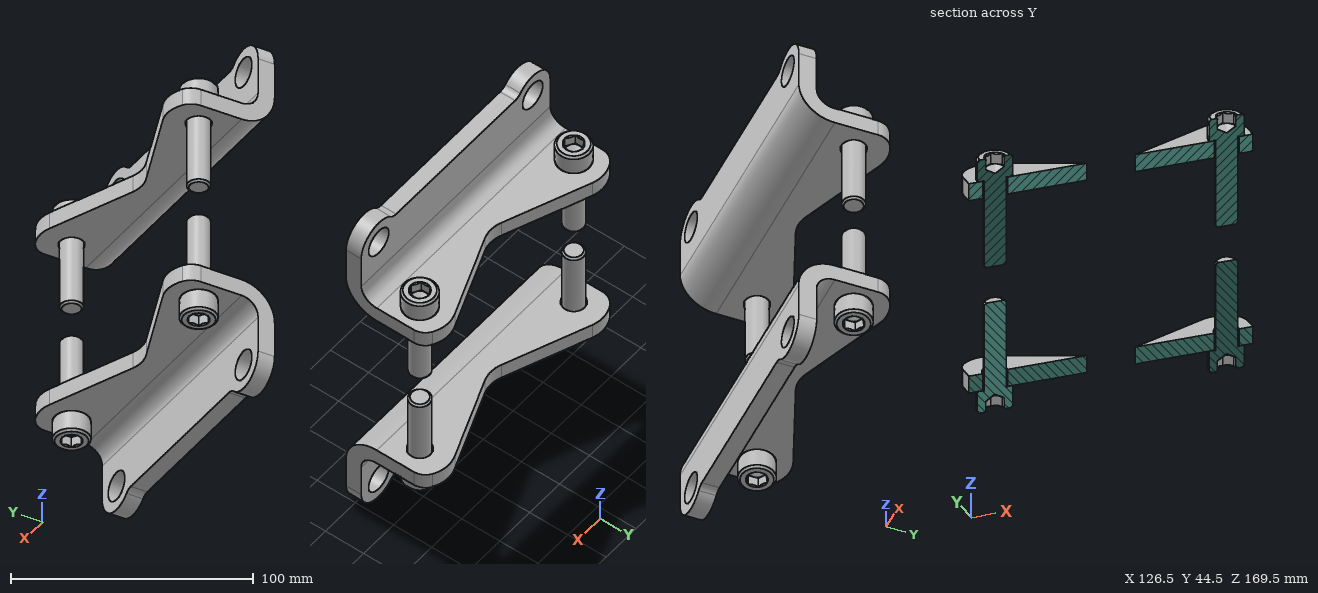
import cadquery as cq
import math

plate_width = 126.5
plate_thickness = 8.0
inner_bend_radius = 8.0
outer_bend_radius = inner_bend_radius + plate_thickness
bracket_gap = 80.0
plate_base_z = bracket_gap / 2

ear_radius = 11.75
ear_fillet_radius = 5.0
ear_hole_diameter = 13.5
hole_x = plate_width / 2 - ear_radius
ear_hole_height = 33.0
upright_height = 40.0
ear_hole_z = plate_base_z + ear_hole_height
flange_edge_z = plate_base_z + upright_height

bolt_y = 29.5
bolt_hole_diameter = 11.0
lug_radius = 15.0
lug_corner_radius = 8.0
flange_reach = bolt_y + lug_radius
valley_angle = math.radians(21.5)
valley_radius = 15.0

shank_diameter = 10.0
shank_length = 40.0
shank_chamfer = 0.9
head_diameter = 16.0
head_height = 10.0
head_chamfer = 1.0
head_underside_chamfer = 0.3
socket_across_flats = 8.0
socket_across_corners = socket_across_flats / math.cos(math.pi / 6)
socket_depth = 5.0
drill_point_angle = math.radians(118)


def polar(centre_x, centre_y, radius, angle):
    """Point at a radius and angle from a centre."""
    return (centre_x + radius * math.cos(angle), centre_y + radius * math.sin(angle))


def mirrored(point):
    """Point reflected across the middle of the plate width."""
    return (-point[0], point[1])


def bent_strip():
    """L-shaped strip with concentric bend arcs, extruded across the full width."""
    top_z = ear_hole_z + ear_radius
    inner_z = plate_base_z + plate_thickness
    bend_z = plate_base_z + outer_bend_radius
    diagonal = math.sqrt(0.5)
    outer_mid = (
        outer_bend_radius * (1 - diagonal),
        bend_z - outer_bend_radius * diagonal,
    )
    inner_mid = (
        outer_bend_radius - inner_bend_radius * diagonal,
        bend_z - inner_bend_radius * diagonal,
    )
    return (
        cq.Workplane("YZ", origin=(-plate_width / 2, 0, 0))
        .moveTo(0, top_z)
        .lineTo(0, bend_z)
        .threePointArc(outer_mid, (outer_bend_radius, plate_base_z))
        .lineTo(flange_reach, plate_base_z)
        .lineTo(flange_reach, inner_z)
        .lineTo(outer_bend_radius, inner_z)
        .threePointArc(inner_mid, (plate_thickness, bend_z))
        .lineTo(plate_thickness, top_z)
        .close()
        .extrude(plate_width)
    )


def upright_outline():
    """Front outline: straight top edge between two ears joined by concave fillets."""
    fillet_z = flange_edge_z + ear_fillet_radius
    centre_distance = ear_radius + ear_fillet_radius
    rise = fillet_z - ear_hole_z
    run = math.sqrt(centre_distance**2 - rise**2)
    fillet_x = hole_x - run
    join_x = hole_x - run * ear_radius / centre_distance
    join_z = ear_hole_z + rise * ear_radius / centre_distance
    mid_angle = -(math.pi / 2 + math.atan2(rise, run)) / 2
    mid_x, mid_z = polar(fillet_x, fillet_z, ear_fillet_radius, mid_angle)
    ear_top = ear_hole_z + ear_radius
    side_x = plate_width / 2
    return (
        cq.Workplane("XZ")
        .moveTo(-side_x, plate_base_z)
        .lineTo(-side_x, ear_hole_z)
        .threePointArc((-hole_x, ear_top), (-join_x, join_z))
        .threePointArc((-mid_x, mid_z), (-fillet_x, flange_edge_z))
        .lineTo(fillet_x, flange_edge_z)
        .threePointArc((mid_x, mid_z), (join_x, join_z))
        .threePointArc((hole_x, ear_top), (side_x, ear_hole_z))
        .lineTo(side_x, plate_base_z)
        .close()
        .extrude(-flange_reach)
    )


def lying_outline():
    """Plan outline: two lugs around the bolts, with a rounded V between them."""
    side_x = plate_width / 2
    corner_x = side_x - lug_corner_radius
    centre_distance = lug_radius - lug_corner_radius
    corner_y = bolt_y + math.sqrt(centre_distance**2 - (corner_x - hole_x) ** 2)
    corner_angle = math.atan2(corner_y - bolt_y, corner_x - hole_x)
    corner_join = polar(hole_x, bolt_y, lug_radius, corner_angle)
    corner_mid = polar(corner_x, corner_y, lug_corner_radius, corner_angle / 2)
    slope_angle = math.pi / 2 + valley_angle
    slope_top = polar(hole_x, bolt_y, lug_radius, slope_angle)
    lug_mid = polar(hole_x, bolt_y, lug_radius, (corner_angle + slope_angle) / 2)
    apex_y = slope_top[1] - slope_top[0] * math.tan(valley_angle)
    valley_centre_y = apex_y + valley_radius / math.cos(valley_angle)
    valley_join = polar(0, valley_centre_y, valley_radius, valley_angle - math.pi / 2)
    valley_bottom = (0, valley_centre_y - valley_radius)
    return (
        cq.Workplane("XY", origin=(0, 0, plate_base_z))
        .moveTo(-side_x, 0)
        .lineTo(side_x, 0)
        .lineTo(side_x, corner_y)
        .threePointArc(corner_mid, corner_join)
        .threePointArc(lug_mid, slope_top)
        .lineTo(*valley_join)
        .threePointArc(valley_bottom, mirrored(valley_join))
        .lineTo(*mirrored(slope_top))
        .threePointArc(mirrored(lug_mid), mirrored(corner_join))
        .threePointArc(mirrored(corner_mid), (-side_x, corner_y))
        .close()
        .extrude(ear_hole_z + ear_radius - plate_base_z)
    )


def make_bracket():
    """Upper bracket: bent strip trimmed to both flange outlines, then drilled."""
    bracket = bent_strip().intersect(upright_outline()).intersect(lying_outline())
    ear_holes = (
        cq.Workplane("XZ")
        .pushPoints([(-hole_x, ear_hole_z), (hole_x, ear_hole_z)])
        .circle(ear_hole_diameter / 2)
        .extrude(-plate_thickness)
    )
    bolt_holes = (
        cq.Workplane("XY", origin=(0, 0, plate_base_z))
        .pushPoints([(-hole_x, bolt_y), (hole_x, bolt_y)])
        .circle(bolt_hole_diameter / 2)
        .extrude(plate_thickness)
    )
    return bracket.cut(ear_holes).cut(bolt_holes)


def cone(x, top_z, radius, depth):
    """Cone pointing down from a circle at top_z on the bolt axis."""
    return cq.Workplane(
        cq.Solid.makeCone(radius, 0, depth, cq.Vector(x, bolt_y, top_z), cq.Vector(0, 0, -1))
    )


def socket(x, top_z):
    """Hexagon recess with a conical mouth and a drill-point bottom."""
    hexagon = (
        cq.Workplane("XY", origin=(x, bolt_y, top_z))
        .transformed(rotate=(0, 0, 90))
        .polygon(6, socket_across_corners)
        .extrude(-socket_depth)
    )
    mouth_radius = socket_across_corners / 2
    mouth = cone(x, top_z, mouth_radius, mouth_radius)
    tip_radius = socket_across_flats / 2
    tip_depth = tip_radius / math.tan(drill_point_angle / 2)
    tip = cone(x, top_z - socket_depth, tip_radius, tip_depth)
    return hexagon.union(mouth).union(tip)


def make_bolt(x):
    """Upper bolt: head resting on the plate, shank pointing down."""
    seat_z = plate_base_z + plate_thickness
    head_top_z = seat_z + head_height
    head = (
        cq.Workplane("XY", origin=(x, bolt_y, seat_z))
        .circle(head_diameter / 2)
        .extrude(head_height)
        .faces(">Z")
        .chamfer(head_chamfer)
        .faces("<Z")
        .chamfer(head_underside_chamfer)
    )
    shank = (
        cq.Workplane("XY", origin=(x, bolt_y, seat_z))
        .circle(shank_diameter / 2)
        .extrude(-shank_length)
        .faces("<Z")
        .chamfer(shank_chamfer)
    )
    return head.union(shank).cut(socket(x, head_top_z))


upper_bracket = make_bracket()
lower_bracket = upper_bracket.mirror("XY")
bodies = [upper_bracket.val(), lower_bracket.val()]

for bolt_x in (-hole_x, hole_x):
    upper_bolt = make_bolt(bolt_x)
    lower_bolt = upper_bolt.mirror("XY")
    bodies.append(upper_bolt.val())
    bodies.append(lower_bolt.val())

result = cq.Compound.makeCompound(bodies)